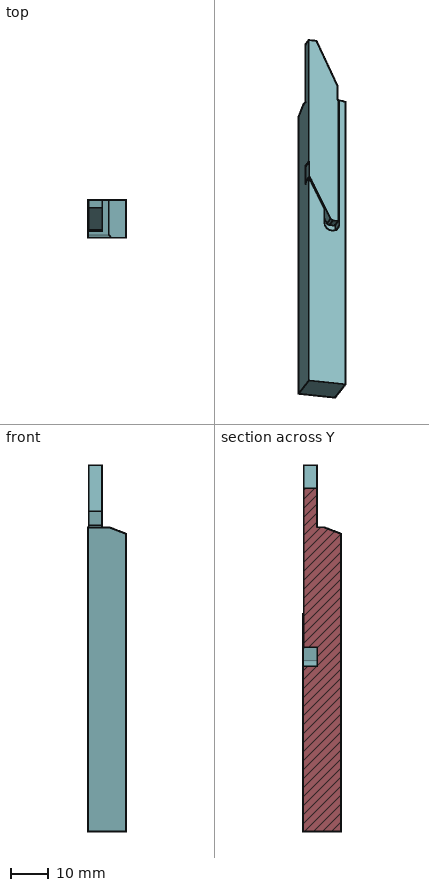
import cadquery as cq

side = 10.0
total_height = 96.5
holder_height = 80.2
top_flat_width = 5.5
side_bevel_drop = 1.7
front_bevel_depth = 0.9
front_bevel_drop = 0.24

blade_inset = 0.2
pocket_floor = 3.8
blade_depth = 7.9
blade_foot_depth = 8.1
blade_tip_depth = 2.1
tip_slope_bottom = 84.3
foot_flare_height = 0.5
blade_bottom = 46.1
bottom_corner_depth = 6.0
bottom_corner_height = 46.5
bottom_flat_depth = 6.7
tail_top = 57.9
back_relief = 0.2
back_relief_top = 62.05

seat_clearance = 0.2
tail_drop = 0.9
slot_width = 4.1
slot_bottom = 43.1
pocket_depth = blade_foot_depth + seat_clearance
slot_radius = slot_width / 2
slot_back_depth = pocket_depth - slot_width
slot_center_height = slot_bottom + slot_radius
tail_rise = (tail_top - bottom_corner_height) / (bottom_corner_depth - back_relief)
pocket_tail_top = tail_top + back_relief * tail_rise - tail_drop


def side_sketch(x_start):
    """Plane facing -X at x_start; local x is depth from the back, local y is Z."""
    return cq.Workplane(cq.Plane(origin=(x_start, side, 0), xDir=(0, -1, 0), normal=(-1, 0, 0)))


def make_holder():
    holder = (
        cq.Workplane("XZ")
        .polyline([
            (0, 0),
            (side, 0),
            (side, holder_height - side_bevel_drop),
            (top_flat_width, holder_height),
            (0, holder_height),
        ])
        .close()
        .extrude(-side)
    )
    front_bevel = (
        side_sketch(side)
        .polyline([
            (side - front_bevel_depth, holder_height),
            (side, holder_height - front_bevel_drop),
            (side, holder_height),
        ])
        .close()
        .extrude(side)
    )
    return holder.cut(front_bevel)


def make_pocket():
    slot_back_height = pocket_tail_top - slot_back_depth * tail_rise
    return (
        side_sketch(pocket_floor)
        .moveTo(0, holder_height)
        .lineTo(0, pocket_tail_top)
        .lineTo(slot_back_depth, slot_back_height)
        .lineTo(slot_back_depth, slot_center_height)
        .threePointArc((slot_back_depth + slot_radius, slot_bottom), (pocket_depth, slot_center_height))
        .lineTo(pocket_depth, holder_height)
        .close()
        .extrude(pocket_floor)
    )


def make_blade():
    outline = [
        (0, total_height),
        (blade_tip_depth, total_height),
        (blade_depth, tip_slope_bottom),
        (blade_depth, holder_height + foot_flare_height),
        (blade_foot_depth, holder_height),
        (blade_foot_depth, blade_bottom),
        (bottom_flat_depth, blade_bottom),
        (bottom_corner_depth, bottom_corner_height),
        (back_relief, tail_top),
        (back_relief, back_relief_top),
        (0, back_relief_top),
    ]
    return side_sketch(pocket_floor).polyline(outline).close().extrude(pocket_floor - blade_inset)


result = make_holder().cut(make_pocket()).union(make_blade())